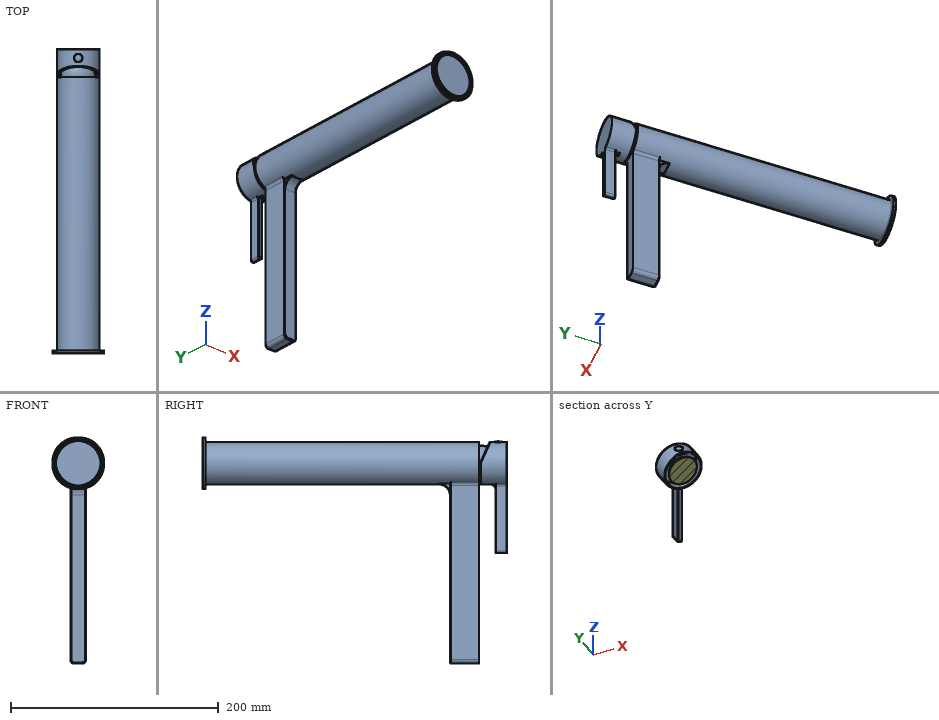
import cadquery as cq
import math

total_length = 293.3

tube_diameter = 41.0
tube_radius = tube_diameter / 2
tube_end = 266.4
flange_diameter = 50.0
flange_thickness = 3.0
flange_chamfer = 0.6
groove_outer_diameter = 46.0
groove_inner_diameter = 43.0
groove_depth = 1.0
flange_root_fillet = 0.8
neck_radius = 17.0
neck_center_y = tube_end + 2.5

spout_width = 15.0
spout_depth = 28.0
spout_bottom = -193.0
spout_corner_radius = 4.0
spout_edge_chamfer = 0.8
spout_side_blend = 4.0
spout_front_blend = 10.0

head_length = 25.2
head_start = total_length - head_length
head_bore_diameter = 38.0
bore_end = neck_center_y + neck_radius
relief_top_length = 16.4
relief_chamfer = 0.4
relief_low_z = 1.5
plug_diameter = 8.0
plug_y = 284.8
plug_dome_rise = 0.7
plug_rim_z = tube_radius
plug_root_depth = 1.4

lever_width = 5.0
lever_depth = 11.0
lever_bottom = -86.5
lever_corner_radius = 2.0
lever_edge_chamfer = 0.6
lever_side_blend = 2.0
lever_front_blend = 4.5

blend_overlap = 1.0


def cylinder(diameter, y_start, y_end):
    """Cylinder on the Y axis between two Y positions."""
    length = y_end - y_start
    return cq.Workplane("XZ", origin=(0, y_start, 0)).circle(diameter / 2).extrude(-length)


def blade(width, depth, y_back, z_bottom, corner_radius, edge_chamfer):
    """Flat bar hanging from the Y axis, with rounded bottom corners and a chamfered -Y outline."""
    bar = cq.Workplane("XY").box(width, depth, -z_bottom, centered=(True, False, False))
    bar = bar.translate((0, y_back - depth, z_bottom))
    bar = bar.faces("<Z").edges("|Y").fillet(corner_radius)
    return bar.faces("<Y").edges("not >Z").chamfer(edge_chamfer)


def front_blend(width, y_face, radius):
    """Concave blend between the -Y face of a bar and the underside of the tube."""
    y_tip = y_face - radius
    y_root = y_face + blend_overlap
    z_tangent = -tube_radius
    z_low = z_tangent - radius
    arc_offset = radius * math.sqrt(0.5)
    return (
        cq.Workplane("YZ")
        .moveTo(y_tip, z_tangent)
        .threePointArc((y_tip + arc_offset, z_low + arc_offset), (y_face, z_low))
        .lineTo(y_root, z_low)
        .lineTo(y_root, 0)
        .lineTo(y_tip, 0)
        .close()
        .extrude(width / 2, both=True)
    )


def side_blend(width, depth, y_back, radius):
    """Concave blends between both sides of a bar and the tube, solid across the bar width."""
    center_x = width / 2 + radius
    center_distance = tube_radius + radius
    center_z = -math.sqrt(center_distance**2 - center_x**2)
    tube_ratio = tube_radius / center_distance
    tube_x = center_x * tube_ratio
    tube_z = center_z * tube_ratio
    mid_x = (width / 2 + tube_x) / 2 - center_x
    mid_z = (center_z + tube_z) / 2 - center_z
    mid_scale = radius / math.hypot(mid_x, mid_z)
    arc_x = center_x + mid_x * mid_scale
    arc_z = center_z + mid_z * mid_scale
    return (
        cq.Workplane("XZ", origin=(0, y_back, 0))
        .moveTo(-tube_x, tube_z)
        .threePointArc((-arc_x, arc_z), (-width / 2, center_z))
        .lineTo(width / 2, center_z)
        .threePointArc((arc_x, arc_z), (tube_x, tube_z))
        .close()
        .extrude(depth)
    )


def make_tube():
    """Tube with a wall flange that is filleted at the root and grooved in its face."""
    flange = cylinder(flange_diameter, 0, flange_thickness)
    flange = flange.faces("<Y").chamfer(flange_chamfer)
    groove = cylinder(groove_outer_diameter, 0, groove_depth)
    groove = groove.cut(cylinder(groove_inner_diameter, 0, groove_depth))
    flange = flange.cut(groove)
    tube = flange.union(cylinder(tube_diameter, 0, tube_end))
    root_edge = tube.faces("%PLANE").faces(">Y[-2]").edges(cq.selectors.RadiusNthSelector(0))
    return root_edge.fillet(flange_root_fillet)


def make_neck():
    """Ball neck, partly sunk in the tube end, that carries the handle."""
    return cq.Workplane("XY").sphere(neck_radius).translate((0, neck_center_y, 0))


def make_faucet():
    spout = blade(
        spout_width, spout_depth, tube_end, spout_bottom, spout_corner_radius, spout_edge_chamfer
    )
    spout_face = tube_end - spout_depth
    return (
        make_tube()
        .union(make_neck())
        .union(spout)
        .union(front_blend(spout_width - 2 * spout_edge_chamfer, spout_face, spout_front_blend))
        .union(side_blend(spout_width, spout_depth - spout_edge_chamfer, tube_end, spout_side_blend))
    )


def make_relief():
    """Wedge that slopes the upper half of the head back, giving the tilting handle clearance."""
    relief_top_y = total_length - relief_top_length
    return (
        cq.Workplane("YZ")
        .moveTo(head_start, relief_low_z)
        .lineTo(relief_top_y, tube_radius)
        .lineTo(head_start, tube_radius)
        .close()
        .extrude(tube_diameter, both=True)
    )


def make_head_shell():
    """Round head with the relief cut away and the outer rim of the slope chamfered."""
    head = cylinder(tube_diameter, head_start, total_length).cut(make_relief())
    return head.edges("%ELLIPSE").chamfer(relief_chamfer)


def make_plug():
    """Round plug in the top of the head with a shallow domed end."""
    plug_radius = plug_diameter / 2
    dome_radius = (plug_radius**2 + plug_dome_rise**2) / (2 * plug_dome_rise)
    dome_top = plug_rim_z + plug_dome_rise
    half_angle = math.asin(plug_radius / dome_radius) / 2
    dome_mid = (
        dome_radius * math.sin(half_angle),
        dome_top - dome_radius * (1 - math.cos(half_angle)),
    )
    root_z = plug_rim_z - plug_root_depth
    plug = (
        cq.Workplane("XZ")
        .moveTo(0, root_z)
        .lineTo(plug_radius, root_z)
        .lineTo(plug_radius, plug_rim_z)
        .threePointArc(dome_mid, (0, dome_top))
        .close()
        .revolve(360, (0, 0, 0), (0, 1, 0))
    )
    return plug.translate((0, plug_y, 0))


def make_handle():
    lever = blade(
        lever_width, lever_depth, total_length, lever_bottom, lever_corner_radius, lever_edge_chamfer
    )
    lever_face = total_length - lever_depth
    return (
        make_head_shell()
        .union(lever)
        .union(front_blend(lever_width - 2 * lever_edge_chamfer, lever_face, lever_front_blend))
        .union(side_blend(lever_width, lever_depth - lever_edge_chamfer, total_length, lever_side_blend))
        .cut(cylinder(head_bore_diameter, head_start, bore_end))
        .union(make_plug())
    )


faucet = make_faucet()
handle = make_handle()
result = cq.Compound.makeCompound([faucet.val(), handle.val()])